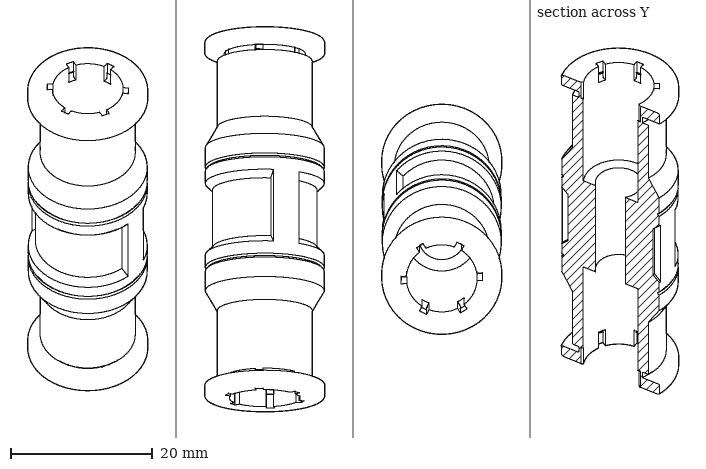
import cadquery as cq
import math


overall_length = 52.0
half_length = overall_length / 2
flange_thickness = 2.0
neck_length = 0.95
flange_inner_z = half_length - flange_thickness
body_end_z = flange_inner_z - neck_length
collar_outer_z = 10.4
groove_center_z = 7.28
window_half_height = 5.2

flange_diameter = 17.0
collar_diameter = 16.8
barrel_diameter = 13.44
neck_diameter = 11.5
window_floor_diameter = 14.8
socket_diameter = 10.0
bore_diameter = 6.6

flange_outer_edge_radius = 0.5
flange_inner_edge_radius = 0.2
barrel_edge_radius = 0.2
cone_half_angle = 30.0
groove_width = 0.56
groove_depth = 0.28

rib_width = 3.9
socket_depth = 18.0
slot_count = 6
slot_first_angle = 30.0
slot_width = 1.1
slot_reach = neck_diameter / 2


def ring_cutter(points):
    """Revolve a closed (radius, z) outline about the Z axis."""
    return cq.Workplane("XZ").polyline(points).close().revolve(360, (0, 0, 0), (0, 1, 0))


def make_collar():
    """Central collar, spanning both halves in one cylinder."""
    return cq.Workplane("XY").circle(collar_diameter / 2).extrude(collar_outer_z, both=True)


def make_end():
    """Solid upper end beyond the collar: cone, barrel, neck and flange."""
    collar_radius = collar_diameter / 2
    barrel_radius = barrel_diameter / 2
    neck_radius = neck_diameter / 2
    flange_radius = flange_diameter / 2
    cone_height = (collar_radius - barrel_radius) / math.tan(math.radians(cone_half_angle))
    profile = (
        cq.Workplane("XZ")
        .moveTo(0, collar_outer_z)
        .lineTo(collar_radius, collar_outer_z)
        .lineTo(barrel_radius, collar_outer_z + cone_height)
        .lineTo(barrel_radius, body_end_z - barrel_edge_radius)
        .radiusArc((barrel_radius - barrel_edge_radius, body_end_z), -barrel_edge_radius)
        .lineTo(neck_radius, body_end_z)
        .lineTo(neck_radius, flange_inner_z)
        .lineTo(flange_radius - flange_inner_edge_radius, flange_inner_z)
        .radiusArc((flange_radius, flange_inner_z + flange_inner_edge_radius), -flange_inner_edge_radius)
        .lineTo(flange_radius, half_length - flange_outer_edge_radius)
        .radiusArc((flange_radius - flange_outer_edge_radius, half_length), -flange_outer_edge_radius)
        .lineTo(0, half_length)
        .close()
    )
    return profile.revolve(360, (0, 0, 0), (0, 1, 0))


def make_groove():
    """V-groove around the upper part of the collar."""
    collar_radius = collar_diameter / 2
    half_width = groove_width / 2
    return ring_cutter([
        (collar_radius, groove_center_z - half_width),
        (collar_radius - groove_depth, groove_center_z),
        (collar_radius, groove_center_z + half_width),
    ])


def make_socket():
    """Tube socket entering from the upper end."""
    return (
        cq.Workplane("XY")
        .workplane(offset=half_length - socket_depth)
        .circle(socket_diameter / 2)
        .extrude(socket_depth)
    )


def make_slots():
    """Radial slots through the upper flange and neck, down to the barrel end face."""
    slot_height = half_length - body_end_z
    slot = (
        cq.Workplane("XY")
        .workplane(offset=body_end_z)
        .center(slot_reach / 2, 0)
        .rect(slot_reach, slot_width)
        .extrude(slot_height)
    )
    slots = cq.Workplane("XY")
    for index in range(slot_count):
        angle = slot_first_angle + index * 360 / slot_count
        slots = slots.add(slot.rotate((0, 0, 0), (0, 0, 1), angle))
    return slots.combine()


def make_windows():
    """Recesses in the middle of the collar, with 45 degree ends and two ribs left between them."""
    collar_radius = collar_diameter / 2
    floor_radius = window_floor_diameter / 2
    floor_half_height = window_half_height - (collar_radius - floor_radius)
    recess = ring_cutter([
        (floor_radius, -floor_half_height),
        (collar_radius, -window_half_height),
        (collar_radius, window_half_height),
        (floor_radius, floor_half_height),
    ])
    ribs = cq.Workplane("XY").box(collar_diameter, rib_width, 2 * window_half_height)
    return recess.cut(ribs)


upper_end = make_end().cut(make_slots())
result = make_collar().union(upper_end).union(upper_end.mirror("XY"))

for end_feature in (make_groove(), make_socket()):
    result = result.cut(end_feature).cut(end_feature.mirror("XY"))

bore = cq.Workplane("XY").circle(bore_diameter / 2).extrude(half_length, both=True)
result = result.cut(bore).cut(make_windows())